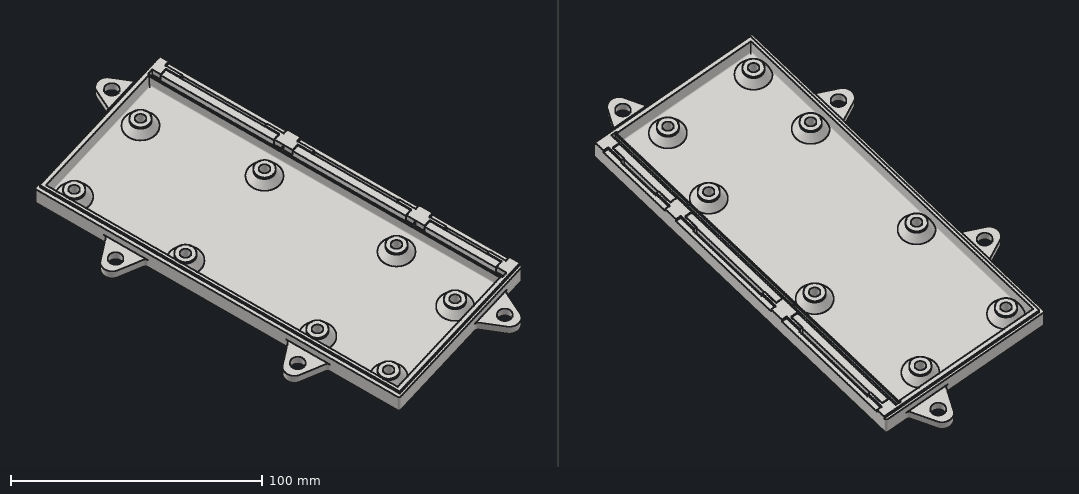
import cadquery as cq
import math

overall_length = 208.0
overall_depth = 97.0
height = 10.0
ear_reach = 14.0
body_length = overall_length - 2 * ear_reach
body_depth = overall_depth - ear_reach
half_length = body_length / 2
back = body_depth / 2
front = -back
corner_radius = 1.0

lip_height = 1.2
lip_z = height - lip_height
lip_side_setback = 1.2
lip_front_setback = 1.9

floor_thickness = 3.0
floor_fillet = 0.8
side_wall = 3.3
front_wall = 3.3
back_wall = 10.0
cavity_length = body_length - 2 * side_wall
cavity_depth = body_depth - front_wall - back_wall
cavity_y = (front_wall - back_wall) / 2

boss_hole = 4.5
boss_top = 9.0
boss_base = 15.2
boss_height = 4.5
boss_collar = 1.0
boss_left = -22.7
boss_right = 42.5
boss_outer = 77.5
boss_front_y = front + 9.8
boss_side_y = back - 28.5
boss_back_y = back - 20.0

ear_thickness = 4.5
ear_tip_radius = 4.8
ear_lean = math.radians(26)
ear_root_radius = 1.7
ear_hole = 6.2
ear_hole_reach = 6.9
ear_embed = 1.0
front_ear_x = 45.0
side_ear_y = back - 21.5

post_half_width = 3.3
bay_left = -84.5
bay_right = 83.5
bay_ends = [
    (bay_left, boss_left - post_half_width),
    (boss_left + post_half_width, boss_right - post_half_width),
    (boss_right + post_half_width, bay_right),
]
shelf_inset = 1.2
outer_depth = 2.5
shelf_drop = 0.6
shelf_start = 3.7
shelf_end = 7.3
slot_inset = 8.3
slot_start = 2.0
slot_drop = 4.0
groove_drop = 3.3
groove_wall = 0.6
ramp_run = 0.52
groove_half_length = half_length - 2.7
divider_width = 0.6


def box(x_start, x_end, y_start, y_end, z_start, z_end):
    """Axis-aligned block between two opposite corners."""
    size = (x_end - x_start, y_end - y_start, z_end - z_start)
    return cq.Workplane("XY").box(*size, centered=False).translate((x_start, y_start, z_start))


def make_shell():
    """Rounded tray body with a stepped lip and a cavity with a filleted floor."""
    body = cq.Workplane("XY").box(body_length, body_depth, height, centered=(True, True, False))
    body = body.edges("|Z").fillet(corner_radius)
    lip_x = half_length - lip_side_setback
    outside = box(-half_length, half_length, front, back, lip_z, height)
    lip = box(-lip_x, lip_x, front + lip_front_setback, back, lip_z, height)
    cavity = (
        cq.Workplane("XY")
        .box(cavity_length, cavity_depth, height, centered=(True, True, False))
        .faces("<Z").edges().fillet(floor_fillet)
        .translate((0, cavity_y, floor_thickness))
    )
    return body.cut(outside).union(lip).cut(cavity)


def cut_back_rim(body):
    """Panel groove along the back wall and the recesses of the three bays."""
    groove_z = height - groove_drop
    rim_y = back - back_wall
    groove_y = rim_y + groove_wall
    groove_back = back - shelf_end
    body = body.cut(box(-groove_half_length, groove_half_length, rim_y, groove_back, lip_z, height))
    body = body.cut(box(-groove_half_length, groove_half_length, groove_y, groove_back, groove_z, height))
    for post_x in (boss_left, boss_right):
        x_start = post_x - divider_width / 2
        x_end = post_x + divider_width / 2
        body = body.union(box(x_start, x_end, groove_y, groove_back, groove_z, lip_z))
    shelf_z = height - shelf_drop
    for x_start, x_end in bay_ends:
        shelf_x = x_start + shelf_inset
        shelf_x_end = x_end - shelf_inset
        outer = box(x_start, x_end, back - outer_depth, back, lip_z, height)
        shelf = box(shelf_x, shelf_x_end, groove_back, back - shelf_start, shelf_z, height)
        slot = box(x_start + slot_inset, x_end - slot_inset, back - shelf_start, back - slot_start,
                   height - slot_drop, height)
        ramp = (
            cq.Workplane("YZ")
            .moveTo(groove_back, shelf_z)
            .lineTo(groove_back - ramp_run, groove_z)
            .lineTo(groove_back, groove_z)
            .close()
            .extrude(shelf_x_end - shelf_x)
            .translate((shelf_x, 0, 0))
        )
        body = body.cut(outer).cut(shelf).cut(slot).union(ramp)
    return body


def make_boss():
    """Conical standoff with a short cylindrical collar."""
    shoulder_z = floor_thickness + boss_height - boss_collar
    return (
        cq.Workplane("XZ")
        .lineTo(boss_base / 2, 0)
        .lineTo(boss_base / 2, floor_thickness)
        .lineTo(boss_top / 2, shoulder_z)
        .lineTo(boss_top / 2, shoulder_z + boss_collar)
        .lineTo(0, shoulder_z + boss_collar)
        .close()
        .revolve(360, (0, 0, 0), (0, 1, 0))
    )


def make_ear():
    """Tapered ear pointing along +Y from a wall at Y = 0, with flared roots."""
    tip_center = ear_reach - ear_tip_radius
    tip_x = ear_tip_radius * math.cos(ear_lean)
    tip_y = tip_center + ear_tip_radius * math.sin(ear_lean)
    root_x = tip_x + tip_y * math.tan(ear_lean)
    tangent = ear_root_radius / math.tan((math.pi / 2 + ear_lean) / 2)
    flare_x = root_x + tangent
    side_x = root_x - tangent * math.sin(ear_lean)
    side_y = tangent * math.cos(ear_lean)
    half_turn = (math.pi / 2 - ear_lean) / 2
    mid_x = flare_x - ear_root_radius * math.sin(half_turn)
    mid_y = ear_root_radius * (1 - math.cos(half_turn))
    return (
        cq.Workplane("XY")
        .moveTo(-flare_x, -ear_embed)
        .lineTo(-flare_x, 0)
        .threePointArc((-mid_x, mid_y), (-side_x, side_y))
        .lineTo(-tip_x, tip_y)
        .threePointArc((0, ear_reach), (tip_x, tip_y))
        .lineTo(side_x, side_y)
        .threePointArc((mid_x, mid_y), (flare_x, 0))
        .lineTo(flare_x, -ear_embed)
        .close()
        .extrude(ear_thickness)
        .cut(cq.Workplane("XY").center(0, ear_hole_reach).circle(ear_hole / 2).extrude(ear_thickness))
    )


result = cut_back_rim(make_shell())

boss_points = [(x, boss_front_y) for x in (-boss_outer, boss_left, boss_right, boss_outer)]
boss_points += [(x, boss_side_y) for x in (-boss_outer, boss_outer)]
boss_points += [(x, boss_back_y) for x in (boss_left, boss_right)]
boss = make_boss()
for x, y in boss_points:
    result = result.union(boss.translate((x, y, 0)))
result = result.cut(cq.Workplane("XY").pushPoints(boss_points).circle(boss_hole / 2).extrude(height))

ear = make_ear()
ear_places = [(-front_ear_x, front, 180), (front_ear_x, front, 180)]
ear_places += [(-half_length, side_ear_y, 90), (half_length, side_ear_y, -90)]
for x, y, turn in ear_places:
    result = result.union(ear.rotate((0, 0, 0), (0, 0, 1), turn).translate((x, y, 0)))